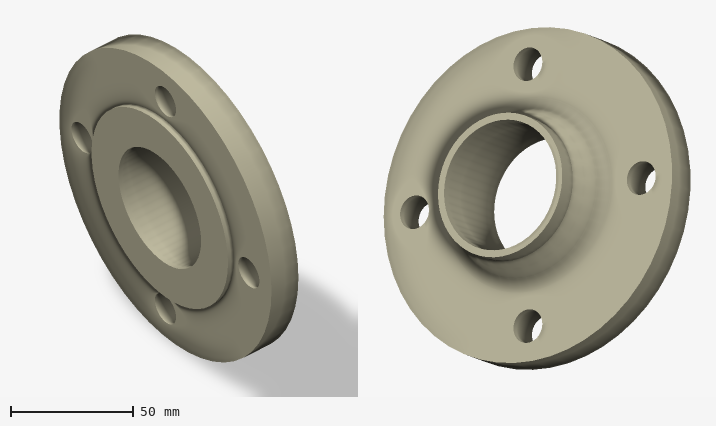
import cadquery as cq
import math

flange_diameter = 140.0
flange_thickness = 14.0
face_diameter = 90.0
face_height = 3.0

total_length = 38.0
neck_diameter = 60.3
neck_length = 8.0
hub_base_diameter = 74.0
hub_fillet_radius = 6.0

bore_diameter = 54.5
bolt_circle_diameter = 110.0
bolt_hole_diameter = 14.0
bolt_hole_count = 4

flange_back = face_height + flange_thickness
neck_start = total_length - neck_length


def rounded_hub_corner():
    """Return the start, middle and end of the arc joining the hub cone to the flange back."""
    base_radius = hub_base_diameter / 2
    taper = math.atan2(base_radius - neck_diameter / 2, neck_start - flange_back)
    turn = math.pi / 2 - taper
    tangent_length = hub_fillet_radius * math.tan(turn / 2)
    center_x = base_radius + tangent_length
    center_y = flange_back + hub_fillet_radius

    def arc_point(angle):
        return (
            center_x - hub_fillet_radius * math.sin(angle),
            center_y - hub_fillet_radius * math.cos(angle),
        )

    return arc_point(0), arc_point(turn / 2), arc_point(turn)


def flange_body():
    """Revolve the solid half profile around the Y axis."""
    arc_start, arc_middle, arc_end = rounded_hub_corner()
    return (
        cq.Workplane("XY")
        .lineTo(face_diameter / 2, 0)
        .lineTo(face_diameter / 2, face_height)
        .lineTo(flange_diameter / 2, face_height)
        .lineTo(flange_diameter / 2, flange_back)
        .lineTo(*arc_start)
        .threePointArc(arc_middle, arc_end)
        .lineTo(neck_diameter / 2, neck_start)
        .lineTo(neck_diameter / 2, total_length)
        .lineTo(0, total_length)
        .close()
        .revolve(360, (0, 0, 0), (0, 1, 0))
    )


def through_holes():
    """Return cutters along Y for the central bore and the bolt holes."""
    bore = cq.Workplane("XZ").circle(bore_diameter / 2).extrude(-total_length)
    bolt_holes = (
        cq.Workplane("XZ")
        .polarArray(bolt_circle_diameter / 2, 0, 360, bolt_hole_count)
        .circle(bolt_hole_diameter / 2)
        .extrude(-total_length)
    )
    return bore.union(bolt_holes)


result = flange_body().cut(through_holes())